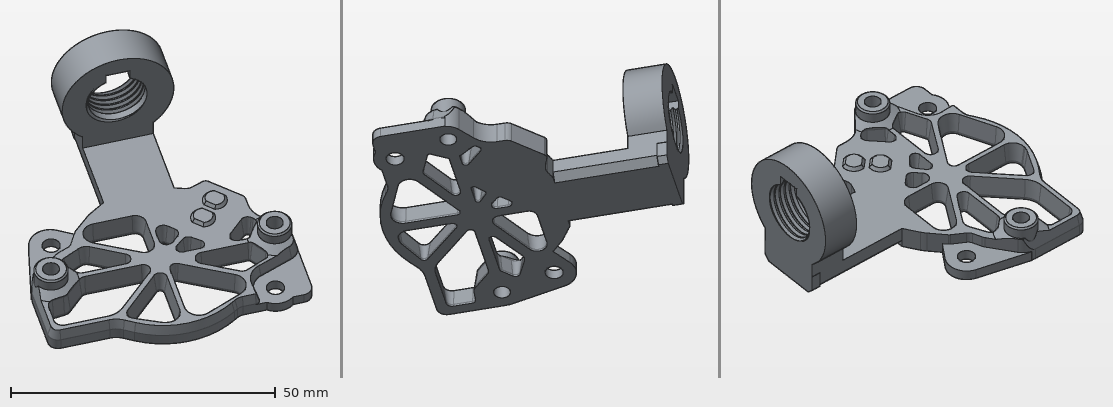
import cadquery as cq
import math

ring_r = 10.95
ring_z = 16.0
ring_len = 7.6
bore_r = 5.7
thread_depth = 0.55
thread_pitch = 1.25
thread_groove = 0.9
thread_lead_in = 0.9
keyway_w = 4.65
keyway_top = 23.3

plate_t = 4.5
tab_t = 2.15
half_depth = 25.705

neck_half_w = 6.95
neck_end = 22.15
neck_chamfer = 1.5
foot_len = 1.95
foot_half_w = 7.0
foot_chamfer = 1.15

rim_r = 17.95
hub_x = 56.8 - rim_r
rim_angle = 33.0
rim_slope_z = 2.4
rim_slope = 16.0

boss_y = 21.95
boss_r = 3.25
boss_top = 7.9
boss_chamfer = 0.35
boss_hole_d = 3.2
cone_r = 5.3
cone_top = 5.5

tab_hole_d = 3.4
tab_round = 4.1
upper_tab_hole = (49.9, 19.0)
lower_tab_hole = (28.0, -18.85)

pad_d = 4.7
pad_flat_half = 2.05
pad_h = 0.7
pad_slope = 37.0
pad_centres = [(27.2, 13.45), (30.95, 10.1)]

window_inset = 0.54
window_lip = 0.45

rib_gap = 0.5
spoke_left = 38.4
spoke_right = 39.4


def rounded_outline(corners, z=0.0):
    """Closed outline from (x, y, radius) corners; radius 0 keeps a corner sharp."""
    stations = []
    count = len(corners)
    for i, (x, y, r) in enumerate(corners):
        here = cq.Vector(x, y)
        to_prev = (cq.Vector(*corners[i - 1][:2]) - here).normalized()
        to_next = (cq.Vector(*corners[(i + 1) % count][:2]) - here).normalized()
        if r == 0:
            stations.append((here, None, here))
            continue
        half = to_prev.getAngle(to_next) / 2
        reach = r / math.tan(half)
        bisector = (to_prev + to_next).normalized()
        middle = here + bisector * (r / math.sin(half) - r)
        stations.append((here + to_prev * reach, middle, here + to_next * reach))
    outline = cq.Workplane("XY", origin=(0, 0, z)).moveTo(*stations[0][2].toTuple()[:2])
    for start, middle, end in stations[1:] + stations[:1]:
        outline = outline.lineTo(start.x, start.y)
        if middle is not None:
            outline = outline.threePointArc((middle.x, middle.y), (end.x, end.y))
    return outline.close()


def prism(corners, z_low, z_high):
    return rounded_outline(corners, z_low).extrude(z_high - z_low)


rim_tip = hub_x + rim_r / math.cos(math.radians(rim_angle))
rim_run = math.tan(math.radians(rim_angle))


def on_rim_tangent(x):
    """Distance from the X axis to the straight run that leaves the rim, at x."""
    return (rim_tip - x) / rim_run


right_edge = 52.0
shelf_edge = 53.05
boss_round = half_depth - boss_y

sloped_side = [
    (42.9, half_depth, 2.85),
    (47.15, 14.75, 3.4),
    (shelf_edge, 15.2, 0.85),
    (shelf_edge, on_rim_tangent(shelf_edge), 2.3),
    (rim_tip, 0, rim_r),
    (right_edge, -on_rim_tangent(right_edge), 4.55),
    (right_edge, -half_depth, 2.0),
]
plain_side = [
    (37.4, -half_depth, boss_round),
    (32.25, -18.75, 2.3),
    (31.2, -16.0, 1.7),
    (27.8, -14.1, 1.15),
    (24.4, -10.5, 6.8),
    (22.1, -neck_half_w, 0),
    (22.1, neck_half_w, 0),
    (23.05, 9.55, 2.3),
    (21.75, 13.1, 1.0),
    (27.85, 19.2, 1.7),
    (32.6, 19.2, 5.1),
    (37.4, half_depth, boss_round),
]
plate = prism(sloped_side + plain_side, 0, cone_top)
flat_top = cq.Workplane("XY").box(113.6, 113.6, plate_t, centered=(True, True, False))
plate_body = plate.intersect(flat_top)
for side in (1, -1):
    cone = (
        cq.Workplane("XY", origin=(hub_x, side * boss_y, plate_t))
        .circle(cone_r)
        .workplane(offset=cone_top - plate_t)
        .circle(boss_r)
        .loft()
    )
    plate_body = plate_body.union(cone.intersect(plate))

trim_corners = sloped_side + [(-22.7, -half_depth, 0), (-22.7, half_depth, 0)]
trim = prism(trim_corners, 0, rim_slope_z).union(
    rounded_outline(trim_corners, rim_slope_z).extrude(cone_top - rim_slope_z, taper=rim_slope)
)
plate_body = plate_body.intersect(trim)

upper_tab = prism(
    [(38.65, half_depth, 0), (shelf_edge, half_depth, 2.0), (shelf_edge, 12.5, 0), (38.65, 12.5, 0)], 0, tab_t
).union(cq.Workplane("XY").center(*upper_tab_hole).circle(tab_round).extrude(tab_t))
lower_tab = prism(
    [(27.6, -11.95, 0), (21.35, -21.65, tab_round), (38.35, -half_depth, 0), (38.65, -21.6, 0)], 0, tab_t
)
body = plate_body.union(upper_tab).union(lower_tab)

windows = [
    [(spoke_left, 11.9, 1.25), (spoke_left, 17.15, 0.7), (34.35, 19.9, 1.25), (32.4, 17.9, 1.35)],
    [(spoke_right, 1.8, 1.5), (46.35, 13.8, 1.4), (43.75, 19.75, 1.0), (spoke_right, 17.0, 0.85)],
    [(39.9, rib_gap, 1.25), (56.4, rib_gap, 2.85), (49.4, 16.7, 2.8)],
    [(40.4, -rib_gap, 1.35), (55.35, -rib_gap, 2.55), (54.9, -4.25, 3.4), (51.3, -11.35, 1.35)],
    [(spoke_right, -1.1, 1.35), (50.4, -12.1, 4.55), (50.4, -24.15, 1.7), (43.85, -24.15, 1.25),
     (43.4, -20.2, 1.7), (spoke_right, -16.2, 1.7)],
    [(spoke_left, -2.45, 1.3), (31.7, -13.6, 2.3), (34.75, -19.8, 1.5), (spoke_left, -16.2, 1.7)],
    [(26.85, -rib_gap, 2.15), (38.05, -rib_gap, 2.0), (26.85, -19.6, 2.5)],
    [(spoke_left, 10.4, 1.1), (34.5, 5.8, 1.25), (spoke_left, 1.2, 1.1)],
    [(28.65, rib_gap, 1.5), (37.9, rib_gap, 1.5), (33.25, 5.1, 1.3)],
]
window_slope = math.degrees(math.atan(window_inset / (plate_t - window_lip)))
for corners in windows:
    leaning = rounded_outline(corners, plate_t).extrude(window_lip - plate_t, taper=window_slope)
    lip = leaning.faces("<Z").wires().toPending().extrude(-window_lip)
    body = body.cut(leaning).cut(lip).cut(prism(corners, plate_t, boss_top))

for side in (1, -1):
    boss = (
        cq.Workplane("XY", origin=(hub_x, side * boss_y, 0))
        .circle(boss_r)
        .extrude(boss_top)
        .faces(">Z")
        .chamfer(boss_chamfer)
    )
    body = body.union(boss)
boss_centres = [(hub_x, boss_y), (hub_x, -boss_y)]
body = body.cut(
    cq.Workplane("XY").pushPoints(boss_centres).circle(boss_hole_d / 2).extrude(boss_top)
)
body = body.cut(
    cq.Workplane("XY").pushPoints([upper_tab_hole, lower_tab_hole]).circle(tab_hole_d / 2).extrude(tab_t)
)

flat_end = math.sqrt((pad_d / 2) ** 2 - pad_flat_half ** 2)
pad = (
    cq.Workplane("XY")
    .moveTo(-flat_end, -pad_flat_half)
    .lineTo(flat_end, -pad_flat_half)
    .threePointArc((pad_d / 2, 0), (flat_end, pad_flat_half))
    .lineTo(-flat_end, pad_flat_half)
    .threePointArc((-pad_d / 2, 0), (-flat_end, -pad_flat_half))
    .close()
    .extrude(pad_h, taper=pad_slope)
    .rotate((0, 0, 0), (0, 0, 1), 45)
)
for x, y in pad_centres:
    body = body.union(pad.translate((x, y, plate_t)))


def bar(half_w, x_end, height, chamfer):
    """Bar along X from the free end, with its two long bottom edges chamfered."""
    return (
        cq.Workplane("XY")
        .box(x_end, 2 * half_w, height, centered=(False, True, False))
        .edges("|X and <Z")
        .chamfer(chamfer)
    )


neck = bar(neck_half_w, neck_end, plate_t, neck_chamfer)
leg = bar(neck_half_w, ring_len, ring_z, neck_chamfer)
foot = bar(foot_half_w, foot_len, plate_t, foot_chamfer)
ring = cq.Workplane("YZ").center(0, ring_z).circle(ring_r).extrude(ring_len)

bore = cq.Workplane("YZ").center(0, ring_z).circle(bore_r).extrude(ring_len)
keyway = cq.Workplane("XY", origin=(0, 0, ring_z)).box(
    ring_len, keyway_w, keyway_top - ring_z, centered=(False, True, False)
)

overlap = 0.1
helix_len = ring_len + 2 * thread_lead_in
helix = cq.Wire.makeHelix(thread_pitch, helix_len, bore_r)
half_root = thread_groove / 2 * (1 + overlap / thread_depth)
groove = (
    cq.Workplane("XZ")
    .polyline([
        (bore_r - overlap, -half_root),
        (bore_r + thread_depth, 0),
        (bore_r - overlap, half_root),
    ])
    .close()
    .sweep(cq.Workplane(helix), isFrenet=True)
    .rotate((0, 0, 0), (0, 1, 0), 90)
    .translate((-thread_lead_in, 0, ring_z))
)
ring = ring.union(leg).union(foot).cut(bore).cut(keyway).cut(groove)
result = body.union(neck).union(ring)